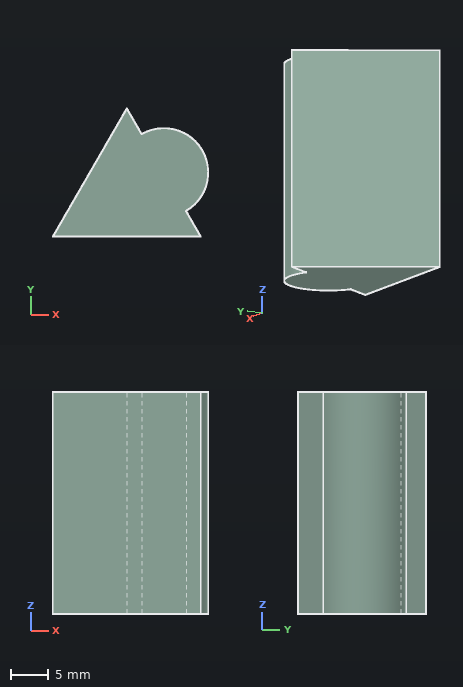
import cadquery as cq
import math

side_length = 20.0
length_z = 30.0
bead_radius = 6.0

triangle_height = side_length * math.sin(math.radians(60))
left_corner = (0.0, 0.0)
right_corner = (side_length, 0.0)
apex = (side_length / 2, triangle_height)

bead_center = (
    (right_corner[0] + apex[0]) / 2,
    (right_corner[1] + apex[1]) / 2,
)


def make_triangular_prism():
    corners = [left_corner, right_corner, apex]
    return cq.Workplane("XY").polyline(corners).close().extrude(length_z)


def make_bead():
    return cq.Workplane("XY").center(*bead_center).circle(bead_radius).extrude(length_z)


result = make_triangular_prism().union(make_bead())